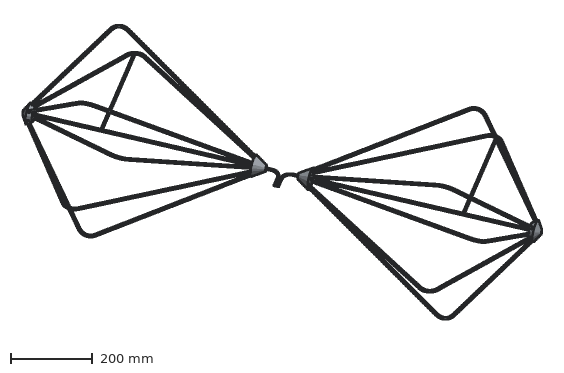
import cadquery as cq
import math


rod_diameter = 6.4
rod_radius = rod_diameter / 2

half_length = 664.0
cage_diameter = 550.0

loop_count = 6
loop_pitch = 360 / loop_count
bend_radius = 30.0
loop_peak = cage_diameter / 2 - rod_radius
loop_root_radius = 20.0
inner_root_x = 70.0
inner_arm_angle = math.radians(33.9)
outer_arm_angle = math.radians(54.8)

strut_x = 463.0
strut_diameter = 5.0

cone_tip_x = 41.0
cone_base_x = 73.0
cone_tip_radius = 8.0
cone_base_radius = 28.0

hub_inner_x = 636.0
hub_rim_x = 649.0
hub_inner_radius = 19.0
hub_rim_radius = 28.0
hub_end_radius = 5.0

wire_diameter = 5.0
wire_offset_x = 4.0
wire_bend_radius = 23.0
wire_end_y = -48.0


def sweep_rod(path, start, direction, diameter):
    """Round rod along a path that leaves the start point in the given direction."""
    return cq.Workplane(cq.Plane(origin=start, normal=direction)).circle(diameter / 2).sweep(path)


def make_loop():
    """Rod from the feed cone up to a rounded peak and down to the hub, in the XY plane."""
    inner_direction = (math.cos(inner_arm_angle), math.sin(inner_arm_angle), 0)
    bend_center_y = loop_peak - bend_radius
    inner_bend_y = bend_center_y + bend_radius * math.cos(inner_arm_angle)
    outer_bend_y = bend_center_y + bend_radius * math.cos(outer_arm_angle)
    inner_bend_x = inner_root_x + (inner_bend_y - loop_root_radius) / math.tan(inner_arm_angle)
    bend_center_x = inner_bend_x + bend_radius * math.sin(inner_arm_angle)
    outer_bend_x = bend_center_x + bend_radius * math.sin(outer_arm_angle)
    outer_root_x = outer_bend_x + (outer_bend_y - loop_root_radius) / math.tan(outer_arm_angle)
    path = (
        cq.Workplane("XY")
        .moveTo(inner_root_x, loop_root_radius)
        .lineTo(inner_bend_x, inner_bend_y)
        .threePointArc((bend_center_x, loop_peak), (outer_bend_x, outer_bend_y))
        .lineTo(outer_root_x, loop_root_radius)
    )
    return sweep_rod(path, (inner_root_x, loop_root_radius, 0), inner_direction, rod_diameter)


def make_feed_cone():
    """Solid cone that narrows toward the symmetry plane."""
    return (
        cq.Workplane("XY")
        .moveTo(cone_tip_x, 0)
        .lineTo(cone_tip_x, cone_tip_radius)
        .lineTo(cone_base_x, cone_base_radius)
        .lineTo(cone_base_x, 0)
        .close()
        .revolve(360, (0, 0, 0), (1, 0, 0))
    )


def make_hub():
    """Double cone that joins the outer ends of the rods."""
    return (
        cq.Workplane("XY")
        .moveTo(hub_inner_x, 0)
        .lineTo(hub_inner_x, hub_inner_radius)
        .lineTo(hub_rim_x, hub_rim_radius)
        .lineTo(half_length, hub_end_radius)
        .lineTo(half_length, 0)
        .close()
        .revolve(360, (0, 0, 0), (1, 0, 0))
    )


def make_axis_rod():
    """Straight rod between the feed cone and the hub."""
    return cq.Workplane("YZ", origin=(cone_base_x, 0, 0)).circle(rod_radius).extrude(hub_inner_x - cone_base_x)


def make_strut():
    """Straight rod from the axis rod to the peak of the +Y loop."""
    return cq.Workplane("XZ", origin=(strut_x, 0, 0)).circle(strut_diameter / 2).extrude(-loop_peak)


def make_feed_wire():
    """Wire from the tip of the feed cone through a quarter bend to a straight end."""
    bend_start_x = wire_offset_x + wire_bend_radius
    path = (
        cq.Workplane("XY")
        .moveTo(cone_tip_x, 0)
        .lineTo(bend_start_x, 0)
        .radiusArc((wire_offset_x, -wire_bend_radius), -wire_bend_radius)
        .lineTo(wire_offset_x, wire_end_y)
    )
    return sweep_rod(path, (cone_tip_x, 0, 0), (-1, 0, 0), wire_diameter)


def make_cage():
    """One half of the antenna, on the +X side, as a single solid."""
    cage = make_feed_cone().union(make_axis_rod()).union(make_hub())
    loop = make_loop()
    for index in range(loop_count):
        cage = cage.union(loop.rotate((0, 0, 0), (1, 0, 0), index * loop_pitch))
    return cage.union(make_strut()).union(make_feed_wire())


right_cage = make_cage()
left_cage = right_cage.mirror("YZ")

result = cq.Compound.makeCompound([*right_cage.solids().vals(), *left_cage.solids().vals()])